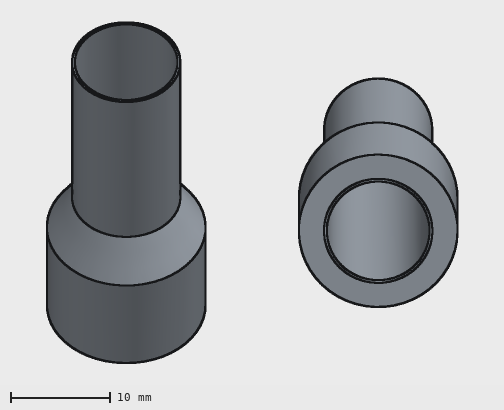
import cadquery as cq

total_length = 36.0
tube_diameter = 10.9
tube_wall = 0.3
collar_diameter = 16.0
collar_straight_height = 11.52
collar_height = 16.0

tube_radius = tube_diameter / 2
bore_radius = tube_radius - tube_wall
collar_radius = collar_diameter / 2


def make_tube():
    """Thin-walled tube running the full length of the ferrule."""
    return cq.Workplane("XY").circle(tube_radius).circle(bore_radius).extrude(total_length)


def make_collar():
    """Collar around the tube: straight skirt, then a cone down to the tube diameter."""
    profile = (
        cq.Workplane("XZ")
        .moveTo(tube_radius, 0)
        .lineTo(collar_radius, 0)
        .lineTo(collar_radius, collar_straight_height)
        .lineTo(tube_radius, collar_height)
        .close()
    )
    return profile.revolve(360, (0, 0, 0), (0, 1, 0))


tube = make_tube()
collar = make_collar()

result = cq.Compound.makeCompound([tube.val(), collar.val()])